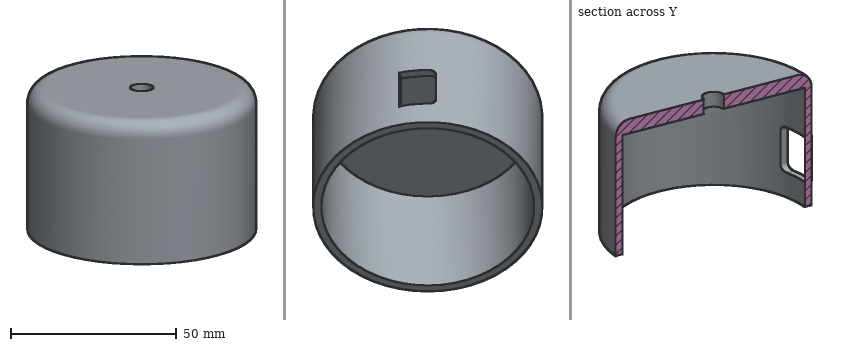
import cadquery as cq

outer_diameter = 69.5
height = 45.0
inner_diameter = 64.5
roof_thickness = 5.0
rim_radius = 5.0
center_hole_diameter = 7.0

window_width = 11.05
window_height = 15.1
window_bottom = 8.35
window_corner_radius = 2.0


def make_shell():
    """Cylinder with a rounded top rim, hollowed from below."""
    body = cq.Workplane("XY").circle(outer_diameter / 2).extrude(height)
    body = body.faces(">Z").edges().fillet(rim_radius)
    cavity = cq.Workplane("XY").circle(inner_diameter / 2).extrude(height - roof_thickness)
    return body.cut(cavity)


def make_center_hole():
    """Cutter for the hole through the roof."""
    return cq.Workplane("XY").circle(center_hole_diameter / 2).extrude(height)


def make_window():
    """Cutter through the -X wall: square corners at Y = 0, round corners on the -Y side."""
    block = cq.Workplane("XY").box(
        outer_diameter / 2, window_width, window_height, centered=False
    )
    block = block.translate((-outer_diameter / 2, -window_width, window_bottom))
    return block.faces("<Y").edges("|X").fillet(window_corner_radius)


result = make_shell().cut(make_center_hole()).cut(make_window())